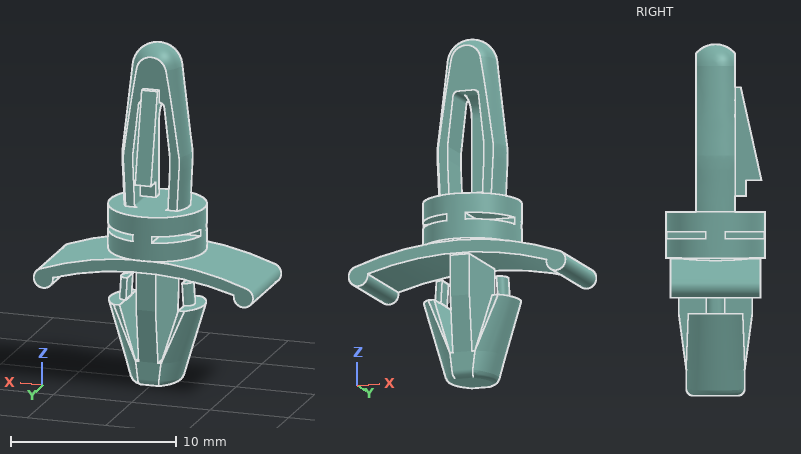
import cadquery as cq
import math

TOTAL_HEIGHT = 21.3
COLLAR_RADIUS = 3.0
COLLAR_BOTTOM = 8.35
COLLAR_TOP = 11.15

SLOT_BOTTOM = 9.52
SLOT_TOP = 9.93
RIB_WIDTH = 1.2

PIN_THICKNESS = 2.39
PIN_BASE_RADIUS = 2.02
PIN_SHOULDER_RADIUS = 2.13
PIN_PEAK_RADIUS = 2.15
SHOULDER_BOTTOM = 13.72
SHOULDER_TOP = 14.55
DOME_BASE = 19.98
DOME_BASE_RADIUS = 1.51

WINDOW_TOP = 17.91
WINDOW_BASE_HALF = 1.06
WINDOW_WIDE_HALF = 1.17
WINDOW_TOP_HALF = 0.79
WINDOW_TOP_FILLET = 0.32
WINDOW_BASE_FILLET = 0.15

CATCH_WIDTH = 1.0
CATCH_TOP = 18.7
CATCH_TOP_Y = 1.53
CATCH_TIP_Y = 2.8
CATCH_TIP_Z = 13.05
CATCH_TAIL_Y = 1.85
CATCH_TAIL_Z = 12.1

LEAF_DEPTH = 5.45
LEAF_TOP = 8.3
LEAF_THICKNESS = 0.79
LEAF_TOP_RADIUS = 19.17
LEAF_BOTTOM_RADIUS = 19.6
LEAF_SPAN = 14.0
BEAD_RADIUS = 0.62
NECK_RADIUS = 2.07

WEB_WIDTH = 1.24
WEB_HALF_DEPTH = 2.24
NOSE_DEPTH = 3.55
NOSE_TOP = 1.58
NOSE_FILLET = 0.45
NOSE_BASE_CORNER_X = 0.62
NOSE_TOP_CORNER_X = 0.8
ARM_TOP = 4.98
ARM_TOP_DEPTH = 3.3
ARM_TOP_INNER_X = 1.87
ARM_TOP_CORNER_X = 2.25
ARM_TOP_OUTER_X = COLLAR_RADIUS
NOSE_BASE_OUTER_X = 1.51
PEG_TOP = 6.4
PEG_DEPTH = 1.13
PEG_TOP_INNER_X = 1.75
PEG_BASE_INNER_X = 1.83
PEG_THICKNESS = 0.53
PEG_FILLET = 0.5


def mirrored(right_points):
    """Close an XZ outline by adding the mirror image of its right half."""
    return right_points + [(-x, z) for x, z in reversed(right_points)]


def extrude_xz(points, depth):
    """Extrude an XZ polygon symmetrically about Y = 0."""
    return cq.Workplane("XZ").polyline(points).close().extrude(depth / 2, both=True)


def make_collar():
    collar = cq.Workplane("XY").workplane(offset=COLLAR_BOTTOM).circle(COLLAR_RADIUS)
    collar = collar.extrude(COLLAR_TOP - COLLAR_BOTTOM)
    pocket_center = (RIB_WIDTH + COLLAR_RADIUS) / 2
    quadrants = [(sx * pocket_center, sy * pocket_center) for sx in (-1, 1) for sy in (-1, 1)]
    slots = cq.Workplane("XY").workplane(offset=SLOT_BOTTOM).pushPoints(quadrants)
    slots = slots.rect(COLLAR_RADIUS, COLLAR_RADIUS).extrude(SLOT_TOP - SLOT_BOTTOM)
    return collar.cut(slots)


def make_pin():
    dome_height = TOTAL_HEIGHT - DOME_BASE
    sphere_radius = (DOME_BASE_RADIUS**2 + dome_height**2) / (2 * dome_height)
    dome_center = TOTAL_HEIGHT - sphere_radius
    diagonal = sphere_radius * math.sqrt(0.5)
    pin = (
        cq.Workplane("XZ")
        .moveTo(0, COLLAR_TOP)
        .lineTo(PIN_BASE_RADIUS, COLLAR_TOP)
        .lineTo(PIN_SHOULDER_RADIUS, SHOULDER_BOTTOM)
        .threePointArc(
            (PIN_PEAK_RADIUS, (SHOULDER_BOTTOM + SHOULDER_TOP) / 2),
            (PIN_SHOULDER_RADIUS, SHOULDER_TOP),
        )
        .lineTo(DOME_BASE_RADIUS, DOME_BASE)
        .threePointArc((diagonal, dome_center + diagonal), (0, TOTAL_HEIGHT))
        .close()
        .revolve(360, (0, 0), (0, 1))
    )
    flats = cq.Workplane("XY").box(
        2 * COLLAR_RADIUS, PIN_THICKNESS, TOTAL_HEIGHT, centered=(True, True, False)
    )
    window = extrude_xz(
        mirrored([
            (WINDOW_BASE_HALF, COLLAR_TOP),
            (WINDOW_WIDE_HALF, SHOULDER_BOTTOM),
            (WINDOW_WIDE_HALF, SHOULDER_TOP),
            (WINDOW_TOP_HALF, WINDOW_TOP),
        ]),
        PIN_THICKNESS,
    )
    window = window.faces(">Z").edges("|Y").fillet(WINDOW_TOP_FILLET)
    window = window.faces("<Z").edges("|Y").fillet(WINDOW_BASE_FILLET)
    return pin.intersect(flats).cut(window)


def make_catch():
    """Ramped catch, blended into the window top by a quarter round."""
    pin_back = PIN_THICKNESS / 2
    blend = pin_back
    diagonal = blend * math.sqrt(0.5)
    return (
        cq.Workplane("YZ")
        .moveTo(0, CATCH_TOP)
        .lineTo(CATCH_TOP_Y, CATCH_TOP)
        .lineTo(CATCH_TIP_Y, CATCH_TIP_Z)
        .lineTo(CATCH_TAIL_Y, CATCH_TIP_Z)
        .lineTo(CATCH_TAIL_Y, CATCH_TAIL_Z)
        .lineTo(pin_back, CATCH_TAIL_Z)
        .lineTo(pin_back, WINDOW_TOP - blend)
        .threePointArc((diagonal, WINDOW_TOP - blend + diagonal), (0, WINDOW_TOP))
        .close()
        .extrude(CATCH_WIDTH / 2, both=True)
    )


def make_leaf():
    bead_x = LEAF_SPAN / 2 - BEAD_RADIUS
    leaf_bottom = LEAF_TOP - LEAF_THICKNESS
    end_angle = math.asin(bead_x / (LEAF_TOP_RADIUS - BEAD_RADIUS))
    top_end_x = LEAF_TOP_RADIUS * math.sin(end_angle)
    top_end_z = LEAF_TOP - LEAF_TOP_RADIUS * (1 - math.cos(end_angle))
    bead_z = top_end_z - BEAD_RADIUS * math.cos(end_angle)
    bottom_end_z = leaf_bottom - LEAF_BOTTOM_RADIUS + math.sqrt(LEAF_BOTTOM_RADIUS**2 - bead_x**2)
    leaf = (
        cq.Workplane("XZ")
        .moveTo(-top_end_x, top_end_z)
        .threePointArc((0, LEAF_TOP), (top_end_x, top_end_z))
        .lineTo(bead_x, bead_z)
        .lineTo(bead_x, bottom_end_z)
        .threePointArc((0, leaf_bottom), (-bead_x, bottom_end_z))
        .lineTo(-bead_x, bead_z)
        .close()
        .extrude(LEAF_DEPTH / 2, both=True)
    )
    beads = cq.Workplane("XZ").pushPoints([(-bead_x, bead_z), (bead_x, bead_z)])
    beads = beads.circle(BEAD_RADIUS).extrude(LEAF_DEPTH / 2, both=True)
    neck_bottom = LEAF_TOP - LEAF_THICKNESS / 2
    neck = cq.Workplane("XY").workplane(offset=neck_bottom).circle(NECK_RADIUS)
    return leaf.union(beads).union(neck.extrude(COLLAR_BOTTOM - neck_bottom))


def bowed_section(z, corner_x, outer_x, half_depth):
    """Closed wire with straight front and back and two bowed ends."""
    section = (
        cq.Workplane("XY")
        .workplane(offset=z)
        .moveTo(-corner_x, -half_depth)
        .lineTo(corner_x, -half_depth)
        .threePointArc((outer_x, 0), (corner_x, half_depth))
        .lineTo(-corner_x, half_depth)
        .threePointArc((-outer_x, 0), (-corner_x, -half_depth))
        .close()
    )
    return section.val()


def ruled_loft(lower, upper):
    return cq.Workplane(obj=cq.Solid.makeLoft([lower, upper], True))


def make_foot():
    nose_slope = (ARM_TOP_OUTER_X - NOSE_BASE_OUTER_X) / ARM_TOP
    nose_top_outer_x = NOSE_BASE_OUTER_X + nose_slope * NOSE_TOP
    base = bowed_section(0, NOSE_BASE_CORNER_X, NOSE_BASE_OUTER_X, NOSE_DEPTH / 2)
    middle = bowed_section(NOSE_TOP, NOSE_TOP_CORNER_X, nose_top_outer_x, NOSE_DEPTH / 2)
    top = bowed_section(ARM_TOP, ARM_TOP_CORNER_X, ARM_TOP_OUTER_X, ARM_TOP_DEPTH / 2)

    nose = ruled_loft(base, middle).faces("<Z").edges().fillet(NOSE_FILLET)
    gap = extrude_xz(
        mirrored([(NOSE_TOP_CORNER_X, NOSE_TOP), (ARM_TOP_INNER_X, ARM_TOP)]), LEAF_DEPTH
    )
    arms = ruled_loft(middle, top).cut(gap)

    web_top = LEAF_TOP - LEAF_THICKNESS / 2
    web_outline = mirrored([
        (NOSE_DEPTH / 2, NOSE_TOP),
        (WEB_HALF_DEPTH, ARM_TOP),
        (WEB_HALF_DEPTH, web_top),
    ])
    web = cq.Workplane("YZ").polyline(web_outline).close().extrude(WEB_WIDTH / 2, both=True)
    foot = nose.union(arms).union(web)

    peg = extrude_xz(
        [
            (PEG_BASE_INNER_X, ARM_TOP),
            (PEG_BASE_INNER_X + PEG_THICKNESS, ARM_TOP),
            (PEG_TOP_INNER_X + PEG_THICKNESS, PEG_TOP),
            (PEG_TOP_INNER_X, PEG_TOP),
        ],
        PEG_DEPTH,
    )
    peg = peg.faces(">X").edges("not |Y").fillet(PEG_FILLET)
    return foot.union(peg).union(peg.mirror("YZ"))


result = make_collar()
for piece in (make_pin(), make_catch(), make_leaf(), make_foot()):
    result = result.union(piece)